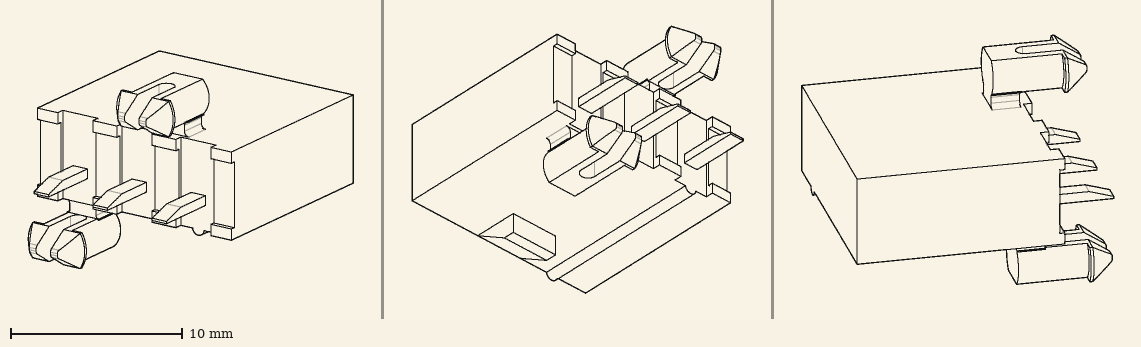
import cadquery as cq

PITCH = 4.2
PIN_POSITIONS = [-PITCH, 0, PITCH]
OVERALL_HEIGHT = 11.56
OVERLAP = 0.08

HOUSING_WIDTH = 13.8
HOUSING_HEIGHT = 5.45
LEDGE_DEPTH = 12.47
LEDGE_HEIGHT = 0.7
REAR_WALL_DEPTH = 12.17
CHANNEL_DEPTH = 11.96
CHANNEL_WIDTH = 2.49
HALF_HEIGHT = HOUSING_HEIGHT / 2

PIN_WIDTH = 1.02
PIN_TOP = HALF_HEIGHT - 3.27
PIN_THICKNESS = 0.6
PIN_TIP_THICKNESS = 0.15
PIN_TAPER_DEPTH = 14.47
PIN_END_DEPTH = 15.95

PEG_START_DEPTH = 9.98
PEG_HEAD_DEPTH = 14.23
PEG_TAPER_DEPTH = 14.4
PEG_END_DEPTH = 15.75
PEG_HEIGHT = 2.19
PEG_RADIUS = 1.5
PEG_HEAD_RADIUS = 2.01
PEG_TIP_RADIUS = PEG_HEAD_RADIUS / 2
PEG_TIP_HEIGHT = 0.4
PEG_TIP_ROUNDING = 0.24
PEG_SLOT_WIDTH = 1.02

STEM_END_DEPTH = 11.7
STEM_WIDTH = 1.88
STEM_HEIGHT = (OVERALL_HEIGHT - HOUSING_HEIGHT) / 2 - PEG_HEIGHT
STEM_HOUSING_FILLET = 0.3
STEM_PEG_FILLET = 0.19

LATCH_WIDTH = 3.37
LATCH_DROP = 1.34
LATCH_RAMP_DEPTH = 2.3
LATCH_END_DEPTH = 3.06
RIB_RADIUS = 0.41
RIB_DROP = 0.37


def block(width, start_depth, end_depth, bottom, top, x=0):
    """Box centred on x, between two depths and two heights."""
    return (
        cq.Workplane("XZ", origin=(x, -start_depth, 0))
        .center(0, (bottom + top) / 2)
        .rect(width, top - bottom)
        .extrude(end_depth - start_depth)
    )


def side_profile(points, width, x=0):
    """Prism of the given width centred on x, from (depth, height) points."""
    return (
        cq.Workplane("YZ", origin=(x, 0, 0))
        .polyline([(-depth, height) for depth, height in points])
        .close()
        .extrude(width / 2, both=True)
    )


def make_housing():
    housing = block(HOUSING_WIDTH, 0, LEDGE_DEPTH, -HALF_HEIGHT, HALF_HEIGHT)
    ledge_inner = HALF_HEIGHT - LEDGE_HEIGHT
    housing = housing.cut(block(HOUSING_WIDTH, REAR_WALL_DEPTH, LEDGE_DEPTH, -ledge_inner, ledge_inner))
    for x in PIN_POSITIONS:
        housing = housing.cut(block(CHANNEL_WIDTH, CHANNEL_DEPTH, LEDGE_DEPTH, -HALF_HEIGHT, HALF_HEIGHT, x))
    return housing


def make_pin(x):
    """Flat pin whose upper face slopes down to a thin tip."""
    bottom = PIN_TOP - PIN_THICKNESS
    root_depth = CHANNEL_DEPTH - OVERLAP
    points = [
        (root_depth, bottom),
        (root_depth, PIN_TOP),
        (PIN_TAPER_DEPTH, PIN_TOP),
        (PIN_END_DEPTH, bottom + PIN_TIP_THICKNESS),
        (PIN_END_DEPTH, bottom),
    ]
    return side_profile(points, PIN_WIDTH, x)


def make_peg():
    """Peg centred on the Y axis: a turned shape flattened above and below, then slotted."""
    turned = (
        cq.Workplane("XY")
        .moveTo(0, -PEG_START_DEPTH)
        .lineTo(PEG_RADIUS, -PEG_START_DEPTH)
        .lineTo(PEG_RADIUS, -PEG_HEAD_DEPTH)
        .lineTo(PEG_HEAD_RADIUS, -PEG_HEAD_DEPTH)
        .lineTo(PEG_HEAD_RADIUS, -PEG_TAPER_DEPTH)
        .lineTo(PEG_TIP_RADIUS, -PEG_END_DEPTH)
        .lineTo(0, -PEG_END_DEPTH)
        .close()
        .revolve(360, (0, 0, 0), (0, 1, 0))
    )
    half, half_tip = PEG_HEIGHT / 2, PEG_TIP_HEIGHT / 2
    upper_points = [
        (PEG_START_DEPTH, half),
        (PEG_TAPER_DEPTH, half),
        (PEG_END_DEPTH, half_tip),
    ]
    lower_points = [(depth, -height) for depth, height in reversed(upper_points)]
    flattened = side_profile(upper_points + lower_points, 2 * PEG_HEAD_RADIUS)
    flattened = flattened.faces("<Y").edges("|X").fillet(PEG_TIP_ROUNDING)

    slot_radius = PEG_SLOT_WIDTH / 2
    slot_centre_depth = STEM_END_DEPTH + slot_radius
    slot = block(PEG_SLOT_WIDTH, slot_centre_depth, PEG_END_DEPTH, -half, half)
    slot_end = (
        cq.Workplane("XY")
        .center(0, -slot_centre_depth)
        .circle(slot_radius)
        .extrude(half, both=True)
    )
    return turned.intersect(flattened).cut(slot).cut(slot_end)


def make_stem():
    """Stem standing on Z = 0, flaring with round fillets into housing and peg."""
    half = STEM_WIDTH / 2
    foot, head = STEM_HOUSING_FILLET, STEM_PEG_FILLET
    arc_inset = 1 - 0.5 ** 0.5
    return (
        cq.Workplane("XZ", origin=(0, -PEG_START_DEPTH, 0))
        .moveTo(-half - foot, -OVERLAP)
        .lineTo(half + foot, -OVERLAP)
        .lineTo(half + foot, 0)
        .threePointArc((half + foot * arc_inset, foot * arc_inset), (half, foot))
        .lineTo(half, STEM_HEIGHT - head)
        .threePointArc(
            (half + head * arc_inset, STEM_HEIGHT - head * arc_inset),
            (half + head, STEM_HEIGHT),
        )
        .lineTo(half + head, STEM_HEIGHT + OVERLAP)
        .lineTo(-half - head, STEM_HEIGHT + OVERLAP)
        .lineTo(-half - head, STEM_HEIGHT)
        .threePointArc(
            (-half - head * arc_inset, STEM_HEIGHT - head * arc_inset),
            (-half, STEM_HEIGHT - head),
        )
        .lineTo(-half, foot)
        .threePointArc((-half - foot * arc_inset, foot * arc_inset), (-half - foot, 0))
        .close()
        .extrude(STEM_END_DEPTH - PEG_START_DEPTH)
    )


def make_mount():
    """Stem and peg standing on the housing's upper face."""
    peg = make_peg().translate((0, 0, STEM_HEIGHT + PEG_HEIGHT / 2))
    return make_stem().union(peg).translate((0, 0, HALF_HEIGHT))


def make_latch():
    """Wedge that ramps down from the mating face to a square catch."""
    points = [
        (0, -HALF_HEIGHT),
        (LATCH_RAMP_DEPTH, -HALF_HEIGHT - LATCH_DROP),
        (LATCH_END_DEPTH, -HALF_HEIGHT - LATCH_DROP),
        (LATCH_END_DEPTH, -HALF_HEIGHT + OVERLAP),
        (0, -HALF_HEIGHT + OVERLAP),
    ]
    return side_profile(points, LATCH_WIDTH)


def make_key_rib():
    """Round rib along the underside, below the last pin."""
    centre_height = -HALF_HEIGHT - RIB_DROP + RIB_RADIUS
    return (
        cq.Workplane("XZ")
        .center(PIN_POSITIONS[-1], centre_height)
        .circle(RIB_RADIUS)
        .extrude(CHANNEL_DEPTH)
    )


mount = make_mount()
upper_mount = mount.translate((PITCH / 2, 0, 0))
lower_mount = mount.mirror("XY").translate((-PITCH, 0, 0))

result = make_housing()
for x in PIN_POSITIONS:
    result = result.union(make_pin(x))
for feature in (upper_mount, lower_mount, make_latch(), make_key_rib()):
    result = result.union(feature)